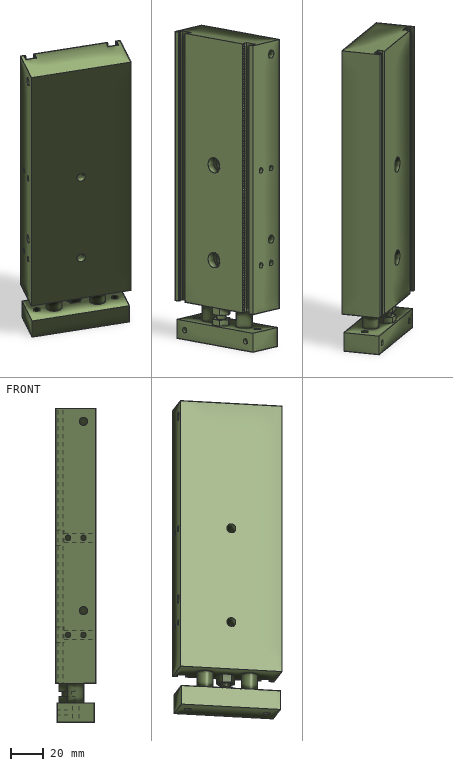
import cadquery as cq
import math

HOUSING_THICKNESS = 25.0
HOUSING_WIDTH = 64.0
HOUSING_LENGTH = 170.0

PLATE_THICKNESS = 23.0
PLATE_WIDTH = 62.5
PLATE_HEIGHT = 12.0

GAP = 12.0
HOUSING_BOTTOM = PLATE_HEIGHT + GAP

FRONT_X = -HOUSING_THICKNESS / 2
SLOT_SPACING = 52.7
SLOT_MOUTH_WIDTH = 5.3
SLOT_LIP = 1.5
SLOT_CAVITY_WIDTH = 6.7
SLOT_DEPTH = 4.5

MOUNT_HOLE_HEIGHT = 54.0
MOUNT_HOLE_PITCH = 60.0
MOUNT_HOLE_HEIGHTS = [MOUNT_HOLE_HEIGHT, MOUNT_HOLE_HEIGHT + MOUNT_HOLE_PITCH]
MOUNT_HOLE_DIAMETER = 5.5
COUNTERBORE_DIAMETER = 9.5
COUNTERBORE_DEPTH = 5.3

SIDE_Y = -HOUSING_WIDTH / 2
TAPPED_DIAMETER = 3.24
TAPPED_DEPTH = 6.0
SIDE_TAPPED_SPACING = 9.5
PORT_DIAMETER = 5.0
PORT_DEPTH = 6.0
PORT_X = 4.75
PORT_HEIGHTS = [69.0, 186.0]

ROD_DIAMETER = 10.0
ROD_SPACING = 28.0

PLATE_HOLE_SPACING = 50.0
PLATE_THROUGH_DIAMETER = 4.2

BOLT_X = -5.5
BOLT_DIAMETER = 6.0
HEX_SIDES = 6
HEX_ACROSS_FLATS = 10.0
HEAD_HEIGHT = 5.0
NUT_CLEARANCE = 0.3
NUT_HEIGHT = 3.7


def mirrored(spacing):
    """The two places that lie symmetrically about zero, a spacing apart."""
    return [-spacing / 2, spacing / 2]


def bore_along_x(diameter, depth, start, y, z):
    """Cylinder that runs from the plane X = start towards +X."""
    return cq.Workplane("YZ", origin=(start, y, z)).circle(diameter / 2).extrude(depth)


def bore_along_y(diameter, depth, x, z):
    """Cylinder that runs from the -Y side of the housing towards +Y."""
    return cq.Workplane("XZ", origin=(x, SIDE_Y, z)).circle(diameter / 2).extrude(-depth)


def block(size_x, size_y, size_z, bottom, x=0.0, y=0.0):
    """Box centred on (x, y) that stands on the plane Z = bottom."""
    return cq.Workplane(origin=(x, y, bottom)).box(size_x, size_y, size_z, centered=(True, True, False))


def make_t_slot(y):
    mouth = block(SLOT_DEPTH, SLOT_MOUTH_WIDTH, HOUSING_LENGTH, HOUSING_BOTTOM, FRONT_X + SLOT_DEPTH / 2, y)
    cavity_depth = SLOT_DEPTH - SLOT_LIP
    cavity_x = FRONT_X + SLOT_LIP + cavity_depth / 2
    cavity = block(cavity_depth, SLOT_CAVITY_WIDTH, HOUSING_LENGTH, HOUSING_BOTTOM, cavity_x, y)
    return mouth.union(cavity)


def make_housing():
    body = block(HOUSING_THICKNESS, HOUSING_WIDTH, HOUSING_LENGTH, HOUSING_BOTTOM)
    for y in mirrored(SLOT_SPACING):
        body = body.cut(make_t_slot(y))
    for z in MOUNT_HOLE_HEIGHTS:
        body = body.cut(bore_along_x(MOUNT_HOLE_DIAMETER, HOUSING_THICKNESS, FRONT_X, 0, z))
        body = body.cut(bore_along_x(COUNTERBORE_DIAMETER, COUNTERBORE_DEPTH, FRONT_X, 0, z))
        for x in mirrored(SIDE_TAPPED_SPACING):
            body = body.cut(bore_along_y(TAPPED_DIAMETER, TAPPED_DEPTH, x, z))
    for z in PORT_HEIGHTS:
        body = body.cut(bore_along_y(PORT_DIAMETER, PORT_DEPTH, PORT_X, z))
    return body


def make_rod_plate():
    """End plate in one piece with the two guide rods, which end at the housing."""
    body = block(PLATE_THICKNESS, PLATE_WIDTH, PLATE_HEIGHT, 0)
    for y in mirrored(ROD_SPACING):
        rod = cq.Workplane(origin=(0, y, 0)).circle(ROD_DIAMETER / 2).extrude(HOUSING_BOTTOM)
        body = body.union(rod)
    for y in mirrored(PLATE_HOLE_SPACING):
        through = cq.Workplane(origin=(0, y, 0)).circle(PLATE_THROUGH_DIAMETER / 2).extrude(PLATE_HEIGHT)
        tapped = bore_along_x(TAPPED_DIAMETER, TAPPED_DEPTH, -PLATE_THICKNESS / 2, y, PLATE_HEIGHT / 2)
        body = body.cut(through).cut(tapped)
    return body


def make_hexagon(bottom, height):
    """Hexagonal prism with two corners pointing along Y."""
    across_corners = HEX_ACROSS_FLATS / math.cos(math.pi / HEX_SIDES)
    prism = cq.Workplane(origin=(BOLT_X, 0, bottom)).transformed(rotate=(0, 0, 90))
    return prism.polygon(HEX_SIDES, across_corners).extrude(height)


def make_stop_bolt():
    """Bolt whose head meets the housing, in one piece with the nut just above the plate."""
    shank = cq.Workplane(origin=(BOLT_X, 0, PLATE_HEIGHT)).circle(BOLT_DIAMETER / 2).extrude(GAP)
    nut = make_hexagon(PLATE_HEIGHT + NUT_CLEARANCE, NUT_HEIGHT)
    head = make_hexagon(HOUSING_BOTTOM - HEAD_HEIGHT, HEAD_HEIGHT)
    return shank.union(nut).union(head)


housing = make_housing()
rod_plate = make_rod_plate()
stop_bolt = make_stop_bolt()

result = cq.Compound.makeCompound([housing.val(), rod_plate.val(), stop_bolt.val()])